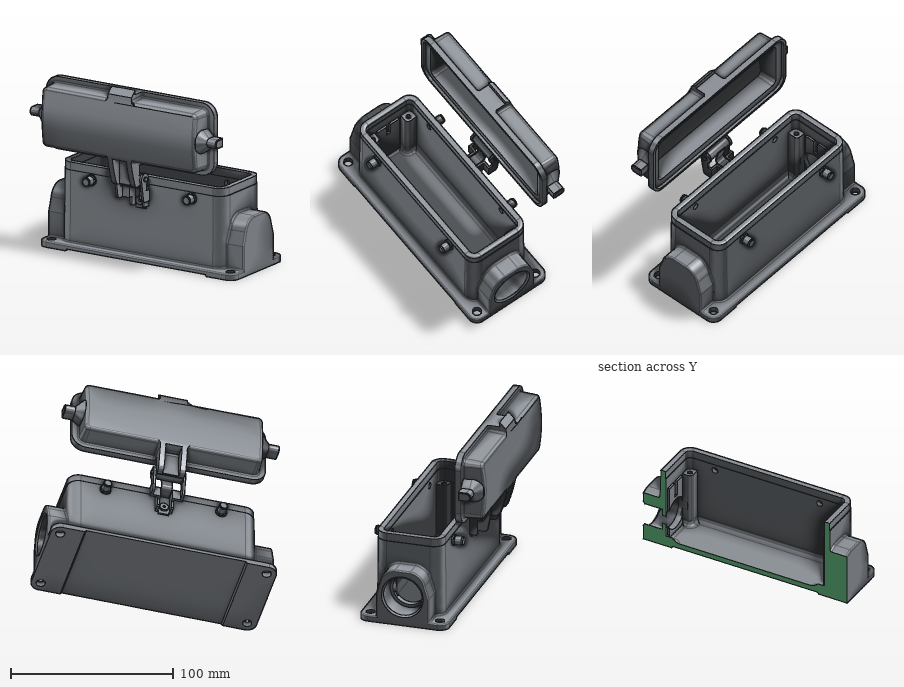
import cadquery as cq
import math

base_length = 144.0
base_width = 57.0
base_thickness = 4.0
base_corner_radius = 6.0
base_edge_round = 0.8
relief_height = 1.2
relief_half_length = 52.0
relief_slope = 1.0

screw_hole_diameter = 5.6
screw_hole_x = 66.0
screw_hole_y = 22.5

wall_length = 121.0
wall_width = 44.2
wall_corner_radius = 8.0
wall_draft = 0.6
wall_root_round = 0.9
collar_length = 119.2
collar_width = 43.2
collar_corner_radius = 7.2
collar_bottom = 50.2
housing_height = 55.75
rim_width = 3.6
rim_crown = 0.5

cavity_length = collar_length - 2 * rim_width
cavity_width = collar_width - 2 * rim_width
cavity_corner_radius = collar_corner_radius - rim_width
cavity_floor = 5.0
cavity_floor_round = 3.5
cavity_step = 0.25

post_hole_x = 52.2
post_hole_y = 13.6
post_hole_diameter = 3.0
post_hole_depth = 12.0
post_inner_x = 49.2
post_inner_y = 10.2
post_top = 42.0
post_corner_round = 2.5

end_pad_thickness = 1.6
end_pad_half_width = 8.3
end_pad_notch_diameter = 3.05
end_pad_notch_bottom = 32.0

entry_half_width = 17.1
entry_shoulder_z = 19.6
entry_arc_start_y = 14.4
entry_arc_start_z = 28.3
entry_flat_half_width = 5.0
entry_arc_inset = 2.9
entry_top = 36.6
entry_edge_round = 0.9
entry_axis_z = 19.2
entry_bore_diameter = 25.0
entry_bore_end_x = -58.5
entry_throat_diameter = 21.0
entry_throat_end_x = -52.0
entry_mouth_chamfer = 1.1
entry_root_round = 1.2

peg_x = 37.0
peg_z = 46.2
peg_tip_y = 28.4
peg_diameter = 4.8
peg_sleeve_diameter = 5.6
peg_sleeve_tip_y = 27.4
peg_collar_diameter = 7.0
peg_collar_y = 23.2
peg_collar_chamfer = 0.6
peg_root_y = 19.0
peg_sleeve_root_y = 21.0
peg_dimple_diameter = 4.0
peg_dimple_end_y = 21.0

hinge_y = -33.5
hinge_z = 56.95
hinge_pin_diameter = 3.0
hinge_pin_half_length = 11.0
knuckle_radius = 3.9

sheet = 1.4
web_y = -21.4
channel_half_width = 5.2
channel_bottom = 36.4
channel_front_y = -26.9
channel_toe_chamfer = 0.8
bracket_bottom = 42.1
bracket_top = 49.3
bracket_flange_y = -29.8
bracket_inner_bend = 0.5
anchor_depth_y = -20.0
ear_inner_x = 8.75
ear_back_y = -31.6
ear_toe_y = -34.8
ear_toe_round = 2.2

tongue_half_width = 3.4
tongue_thickness = 0.7
tongue_bend_y = -28.0
tongue_bend_radius = 2.4
tongue_outer_radius = tongue_bend_radius + tongue_thickness
tongue_tip_y = -28.8
tongue_tip_z = 58.7
tail_bottom = 34.5
rivet_z = 39.6
rivet_diameter = 5.6
rivet_hole_diameter = 1.5
rivet_front_y = -24.0

lid_length = 123.6
lid_height = 46.4
lid_center_z = 90.0
lid_corner_radius = 9.0
lid_back_y = -30.7
lid_rim_front_y = -34.6
lid_crest_y = -48.79
lid_crest_z = 90.0
lid_front_radius = 100.0

dome_length = 115.0
dome_height = 39.4
dome_corner_radius = 4.0
dome_draft = 4.0
dome_edge_round = 2.0
dome_root_round = 0.9
dome_arm_round = 1.5

lid_cavity_length = 110.0
lid_cavity_height = 35.0
lid_cavity_corner_radius = 4.0
lid_wall = 3.0
lid_seat_depth = 2.0
lid_seat_clearance = 0.3

arm_half_width = 8.65
hook_top = 116.08
hook_y = -42.4
hook_slope_height = 4.0
arm_back_y = -37.35
arm_bottom = 53.1
arm_toe_round = 3.0
arm_pocket_width = 10.4
arm_pocket_top = 70.8
arm_pocket_floor_y = -38.8
arm_pocket_round = 1.5
arm_knuckle_radius = 3.3

lug_z = 90.3
lug_y = -40.2
lug_radius = 2.8
lug_back_y = -35.0
lug_tip_x = 68.6
lug_tip_chamfer = 0.5
lug_cone_tip_x = 61.8
lug_cone_length = 5.3


def rounded_block(length, width, height, radius, bottom, draft=0.0):
    """Upright block with rounded corners, centred on the Z axis."""
    outline = cq.Sketch().rect(length, width).vertices().fillet(radius)
    return cq.Workplane("XY", origin=(0, 0, bottom)).placeSketch(outline).extrude(height, taper=draft)


def slab(x_size, z_size, radius, back_y, depth, draft=0.0):
    """Rounded slab at the lid centre, growing from back_y towards -Y."""
    outline = cq.Sketch().rect(x_size, z_size).vertices().fillet(radius)
    plane = cq.Workplane("XZ", origin=(0, back_y, lid_center_z))
    return plane.placeSketch(outline).extrude(depth, taper=draft)


def box(x0, x1, y0, y1, z0, z1):
    """Box between two opposite corners."""
    return cq.Workplane("XY").box(x1 - x0, y1 - y0, z1 - z0, centered=False).translate((x0, y0, z0))


def x_rod(diameter, x0, x1, y, z):
    """Round rod along X."""
    return cq.Workplane("YZ", origin=(x0, y, z)).circle(diameter / 2).extrude(x1 - x0)


def y_rod(diameter, y0, y1, x, z):
    """Round rod along Y from y0 towards a larger y1."""
    return cq.Workplane("XZ", origin=(x, y1, z)).circle(diameter / 2).extrude(y1 - y0)


def base_plate():
    plate = rounded_block(base_length, base_width, base_thickness, base_corner_radius, 0)
    plate = plate.faces(">Z").edges().fillet(base_edge_round)
    relief = (
        cq.Workplane("XZ", origin=(0, base_width / 2, 0))
        .moveTo(-relief_half_length, 0)
        .lineTo(-relief_half_length + relief_slope, relief_height)
        .lineTo(relief_half_length - relief_slope, relief_height)
        .lineTo(relief_half_length, 0)
        .close()
        .extrude(base_width)
    )
    return plate.cut(relief)


def entry_bosses():
    """Both cable entry bosses, as one bar running through the housing."""
    arc_mid_y = entry_arc_start_y - entry_arc_inset
    arc_mid_z = entry_top - entry_arc_inset
    bar = (
        cq.Workplane("YZ", origin=(-base_length / 2, 0, 0))
        .moveTo(-entry_half_width, relief_height)
        .lineTo(-entry_half_width, entry_shoulder_z)
        .lineTo(-entry_arc_start_y, entry_arc_start_z)
        .threePointArc((-arc_mid_y, arc_mid_z), (-entry_flat_half_width, entry_top))
        .lineTo(entry_flat_half_width, entry_top)
        .threePointArc((arc_mid_y, arc_mid_z), (entry_arc_start_y, entry_arc_start_z))
        .lineTo(entry_half_width, entry_shoulder_z)
        .lineTo(entry_half_width, relief_height)
        .close()
        .extrude(base_length)
    )
    end_edges = bar.faces("<X or >X").edges(cq.selectors.BoxSelector(
        (-base_length, -base_width, relief_height + 0.1), (base_length, base_width, housing_height)))
    return end_edges.fillet(entry_edge_round)


def rim_crest():
    """Shallow rounded crest running round the top of the housing wall."""
    base_z = housing_height - rim_crown
    middle_y = (collar_width - rim_width) / 2
    path = rounded_block(collar_length - rim_width, collar_width - rim_width, 1,
                         collar_corner_radius - rim_width / 2, base_z).faces("<Z").wires()
    section = (
        cq.Workplane("YZ", origin=(0, -middle_y, base_z))
        .moveTo(-rim_width / 2, 0)
        .threePointArc((0, rim_crown), (rim_width / 2, 0))
        .close()
    )
    return section.sweep(path)


def shell_walls():
    walls = rounded_block(wall_length, wall_width, collar_bottom - relief_height, wall_corner_radius,
                          relief_height, wall_draft)
    collar = rounded_block(collar_length, collar_width, housing_height - rim_crown - collar_bottom,
                           collar_corner_radius, collar_bottom)
    return walls.union(collar)


def walls_with_bosses():
    """Walls joined to the entry bosses, with a round where each boss meets the wall."""
    body = shell_walls().union(entry_bosses())
    for side in (-1, 1):
        root_zone = cq.selectors.BoxSelector(
            (side * (wall_length / 2 - 3), -entry_half_width - 1, base_thickness),
            (side * (wall_length / 2 + 1), entry_half_width + 1, entry_top + 1))
        body = body.edges(root_zone).fillet(entry_root_round)
    return body


def corner_posts():
    """Screw posts filling the four cavity corners."""
    outer_x = cavity_length / 2 + 1
    outer_y = cavity_width / 2 + 1
    post = box(post_inner_x, outer_x, post_inner_y, outer_y, cavity_floor, post_top)
    post = post.edges("|Z and <X and <Y").fillet(post_corner_round)
    posts = post.union(post.mirror("YZ"))
    return posts.union(posts.mirror("XZ"))


def cavity():
    """Inner space of the housing, leaving the corner posts standing on a rounded floor."""
    mouth = rounded_block(cavity_length, cavity_width, housing_height - collar_bottom,
                          cavity_corner_radius, collar_bottom)
    space = rounded_block(cavity_length - 2 * cavity_step, cavity_width - 2 * cavity_step,
                          collar_bottom - cavity_floor, cavity_corner_radius - cavity_step, cavity_floor)
    space = space.cut(corner_posts())
    return space.faces("<Z").edges().fillet(cavity_floor_round).union(mouth)


def post_holes():
    spots = [(x, y) for x in (-post_hole_x, post_hole_x) for y in (-post_hole_y, post_hole_y)]
    top_plane = cq.Workplane("XY", origin=(0, 0, post_top))
    return top_plane.pushPoints(spots).circle(post_hole_diameter / 2).extrude(-post_hole_depth)


def end_pads():
    """Thin pad on each end wall of the cavity, notched at its middle."""
    outer_x = cavity_length / 2 + 1
    pad = box(cavity_length / 2 - end_pad_thickness, outer_x, -end_pad_half_width, end_pad_half_width,
              base_thickness, post_top)
    notch = (
        cq.Workplane("XY", origin=(cavity_length / 2 - end_pad_thickness, 0, end_pad_notch_bottom))
        .circle(end_pad_notch_diameter / 2)
        .extrude(post_top - end_pad_notch_bottom)
    )
    pad = pad.cut(notch)
    return pad.union(pad.mirror("YZ"))


def entry_bore():
    """Stepped cable entry through the -X end, with a chamfered mouth."""
    end_x = -base_length / 2
    bore = x_rod(entry_bore_diameter, end_x, entry_bore_end_x, 0, entry_axis_z)
    throat = x_rod(entry_throat_diameter, end_x, entry_throat_end_x, 0, entry_axis_z)
    mouth = x_rod(entry_bore_diameter + 2 * entry_mouth_chamfer, end_x, end_x + entry_mouth_chamfer,
                  0, entry_axis_z).faces(">X").chamfer(entry_mouth_chamfer * 0.999)
    return bore.union(throat).union(mouth)


def locking_peg(x):
    """Stepped locking peg on the +Y wall."""
    peg = y_rod(peg_diameter, peg_root_y, peg_tip_y, x, peg_z)
    peg = peg.union(y_rod(peg_sleeve_diameter, peg_sleeve_root_y, peg_sleeve_tip_y, x, peg_z))
    collar = y_rod(peg_collar_diameter, peg_sleeve_root_y, peg_collar_y, x, peg_z)
    return peg.union(collar.faces(">Y").chamfer(peg_collar_chamfer))


def ear():
    """Bracket ear on the +X side, rounded about the hinge pin."""
    blade = (
        cq.Workplane("YZ", origin=(ear_inner_x, 0, 0))
        .moveTo(bracket_flange_y, bracket_bottom)
        .lineTo(bracket_flange_y, bracket_top)
        .lineTo(ear_back_y, bracket_top)
        .lineTo(ear_back_y, hinge_z)
        .lineTo(hinge_y - knuckle_radius, hinge_z)
        .lineTo(ear_toe_y, bracket_bottom)
        .close()
        .extrude(sheet)
    )
    toe = cq.selectors.NearestToPointSelector((ear_inner_x + sheet / 2, ear_toe_y, bracket_bottom))
    blade = blade.edges(toe).fillet(ear_toe_round)
    eye = x_rod(2 * knuckle_radius, ear_inner_x, ear_inner_x + sheet, hinge_y, hinge_z)
    return blade.union(eye)


def bracket():
    """Sheet-metal hinge bracket: channel on the wall, side flanges and two ears."""
    inner_half = channel_half_width - sheet
    hat = box(-channel_half_width, channel_half_width, bracket_flange_y, web_y, bracket_bottom, bracket_top)
    lower = box(-channel_half_width, channel_half_width, channel_front_y, web_y, channel_bottom, bracket_top)
    lower = lower.edges("|X and <Y and <Z").chamfer(channel_toe_chamfer)
    opening = box(-inner_half, inner_half, bracket_flange_y, web_y - sheet, channel_bottom, bracket_top)
    channel = hat.union(lower).cut(opening)
    flange = box(inner_half, ear_inner_x + sheet, bracket_flange_y, bracket_flange_y + sheet,
                 bracket_bottom, bracket_top)
    side = flange.union(ear())
    anchor = box(-channel_half_width, channel_half_width, web_y, anchor_depth_y, channel_bottom, bracket_top)
    tail = box(-tongue_half_width, tongue_half_width, web_y - sheet, anchor_depth_y,
               tail_bottom, channel_bottom)
    rivet = y_rod(rivet_diameter, rivet_front_y, web_y, 0, rivet_z)
    rivet_hole = y_rod(rivet_hole_diameter, rivet_front_y, web_y, 0, rivet_z)
    bend_zone = cq.selectors.BoxSelector(
        (channel_half_width - 0.1, bracket_flange_y, bracket_bottom),
        (channel_half_width + 0.1, channel_front_y - 0.1, bracket_top))
    metal = channel.union(side)
    metal = metal.edges(bend_zone).edges("|Z").fillet(bracket_inner_bend)
    metal = metal.union(metal.mirror("YZ")).union(anchor).union(tail)
    return metal.union(rivet).cut(rivet_hole)


def spring_tongue():
    """Spring strip running out of the bracket channel and bending up behind the hinge pin."""
    diagonal = math.sin(math.pi / 4)
    bend_center_z = bracket_top + tongue_bend_radius
    return (
        cq.Workplane("YZ", origin=(-tongue_half_width, 0, 0))
        .moveTo(web_y - sheet / 2, bracket_top)
        .lineTo(tongue_bend_y, bracket_top)
        .threePointArc(
            (tongue_bend_y - tongue_bend_radius * diagonal, bend_center_z - tongue_bend_radius * diagonal),
            (tongue_bend_y - tongue_bend_radius, bend_center_z),
        )
        .lineTo(tongue_tip_y, tongue_tip_z)
        .lineTo(tongue_tip_y - tongue_thickness, tongue_tip_z)
        .lineTo(tongue_bend_y - tongue_outer_radius, bend_center_z)
        .threePointArc(
            (tongue_bend_y - tongue_outer_radius * diagonal, bend_center_z - tongue_outer_radius * diagonal),
            (tongue_bend_y, bracket_top - tongue_thickness),
        )
        .lineTo(web_y - sheet / 2, bracket_top - tongue_thickness)
        .close()
        .extrude(2 * tongue_half_width)
    )


def hinge_pin():
    return x_rod(hinge_pin_diameter, -hinge_pin_half_length, hinge_pin_half_length, hinge_y, hinge_z)


def build_housing():
    body = base_plate().union(walls_with_bosses())
    foot_zone = cq.selectors.BoxSelector(
        (-base_length / 2 + 0.1, -wall_width / 2 - 1, base_thickness - 0.1),
        (base_length / 2 - 0.1, wall_width / 2 + 1, base_thickness + 0.1))
    body = body.edges(foot_zone).fillet(wall_root_round)
    body = body.union(rim_crest())
    body = body.cut(cavity())
    body = body.union(end_pads())
    body = body.cut(post_holes()).cut(entry_bore())
    for x in (-peg_x, peg_x):
        peg = locking_peg(x)
        dimple = y_rod(peg_dimple_diameter, 0, peg_dimple_end_y, x, peg_z)
        body = body.union(peg).union(peg.mirror("XZ")).cut(dimple).cut(dimple.mirror("XZ"))
    spots = [(x, y) for x in (-screw_hole_x, screw_hole_x) for y in (-screw_hole_y, screw_hole_y)]
    screw_holes = cq.Workplane("XY").pushPoints(spots).circle(screw_hole_diameter / 2).extrude(base_thickness)
    return body.cut(screw_holes).union(bracket()).union(spring_tongue()).union(hinge_pin())


def lid_front_y(z):
    """Y of the bowed lid front at height z."""
    rise = math.sqrt(lid_front_radius ** 2 - (z - lid_crest_z) ** 2)
    return lid_crest_y + lid_front_radius - rise


def bowed_space():
    """Everything behind the bowed lid front."""
    return x_rod(2 * lid_front_radius, -base_length, base_length, lid_crest_y + lid_front_radius, lid_crest_z)


def dome():
    shape = slab(dome_length, dome_height, dome_corner_radius, lid_rim_front_y,
                 lid_rim_front_y - lid_crest_y + 1, dome_draft)
    shape = shape.intersect(bowed_space())
    return shape.faces("<Y").edges().fillet(dome_edge_round)


def arm():
    """Middle spine of the lid: hook at the top, hinge arm at the bottom."""
    lid_top = lid_center_z + lid_height / 2
    lid_bottom = lid_center_z - lid_height / 2
    hook_foot_z = hook_top - hook_slope_height
    spine = (
        cq.Workplane("YZ", origin=(-arm_half_width, 0, 0))
        .moveTo(lid_rim_front_y, lid_bottom)
        .lineTo(lid_rim_front_y, lid_top)
        .lineTo(hook_y, lid_top)
        .lineTo(hook_y, hook_top)
        .lineTo(lid_front_y(hook_foot_z), hook_foot_z)
        .threePointArc((lid_crest_y, lid_crest_z), (lid_front_y(arm_bottom), arm_bottom))
        .lineTo(arm_back_y, arm_bottom)
        .lineTo(arm_back_y, lid_bottom)
        .close()
        .extrude(2 * arm_half_width)
    )
    spine = spine.edges("|X and <Z").edges("<Y").fillet(arm_toe_round)
    knuckle = x_rod(2 * arm_knuckle_radius, -arm_half_width, arm_half_width, hinge_y, hinge_z)
    web = box(-arm_half_width, arm_half_width, arm_back_y, hinge_y,
              hinge_z - arm_knuckle_radius, hinge_z + arm_knuckle_radius)
    pocket = box(-arm_pocket_width / 2, arm_pocket_width / 2, lid_crest_y, arm_pocket_floor_y,
                 arm_bottom, arm_pocket_top)
    pocket = pocket.edges("|X and >Y and >Z").fillet(arm_pocket_round)
    return spine.union(knuckle).union(web).cut(pocket)


def end_lug():
    """Operating lug on the -X end of the lid: U-shaped stud on a 45 degree cone."""
    def u_outline(x):
        return (
            cq.Workplane("YZ", origin=(x, lug_y, lug_z))
            .moveTo(lug_back_y - lug_y, -lug_radius)
            .lineTo(0, -lug_radius)
            .threePointArc((-lug_radius, 0), (0, lug_radius))
            .lineTo(lug_back_y - lug_y, lug_radius)
            .close()
        )
    stud = u_outline(-lug_tip_x).extrude(lug_tip_x - lug_cone_tip_x).faces("<X").chamfer(lug_tip_chamfer)
    cone = u_outline(-lug_cone_tip_x).extrude(lug_cone_length, taper=-45)
    behind_rim = box(-base_length, 0, lid_rim_front_y, 0, 0, hook_top)
    return stud.union(cone.cut(behind_rim))


def lid_cavity():
    """Hollow of the lid: a seat for the housing rim and a deeper pocket behind the bowed front."""
    rim_gap = 2 * lid_seat_clearance
    seat = slab(collar_length + rim_gap, collar_width + rim_gap, wall_corner_radius, lid_back_y, lid_seat_depth)
    pocket = slab(lid_cavity_length, lid_cavity_height, lid_cavity_corner_radius, lid_back_y,
                  lid_back_y - lid_crest_y, dome_draft)
    return seat.union(pocket.intersect(bowed_space().translate((0, lid_wall, 0))))


def build_lid():
    rim = slab(lid_length, lid_height, lid_corner_radius, lid_back_y, lid_back_y - lid_rim_front_y)
    lug = end_lug()
    body = rim.union(dome())
    root_zone = cq.selectors.BoxSelector(
        (-dome_length / 2 - 1, lid_rim_front_y - 0.01, lid_center_z - dome_height / 2 - 1),
        (dome_length / 2 + 1, lid_rim_front_y + 0.01, lid_center_z + dome_height / 2 + 1))
    body = body.edges(root_zone).fillet(dome_root_round)
    body = body.union(arm())
    for side in (-1, 1):
        for edge_z in (lid_center_z - dome_height / 2, lid_center_z + dome_height / 2):
            corner_zone = cq.selectors.BoxSelector(
                (side * arm_half_width - 0.1, lid_crest_y + 2.1, edge_z - 2),
                (side * arm_half_width + 0.1, lid_rim_front_y - 2, edge_z + 2))
            body = body.edges(corner_zone).fillet(dome_arm_round)
    body = body.union(lug).union(lug.mirror("YZ"))
    return body.cut(lid_cavity()).cut(hinge_pin())


housing = build_housing()
lid = build_lid()
result = cq.Compound.makeCompound([housing.val(), lid.val()])